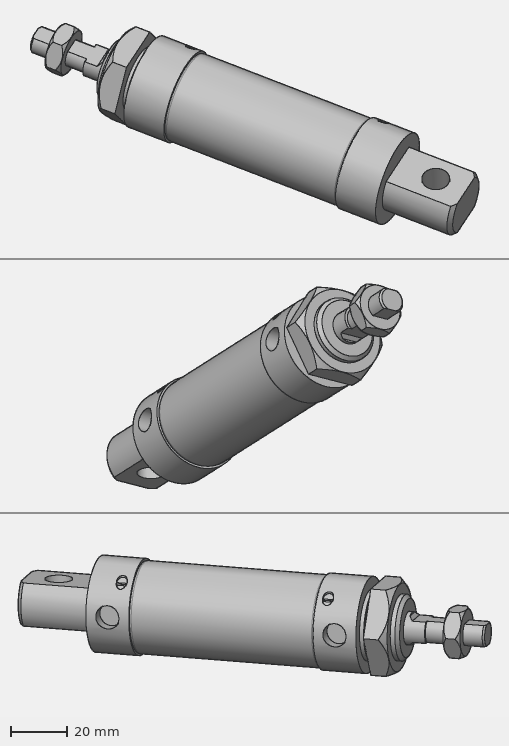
import cadquery as cq
import math

total_length = 172.0
rod_nut_start = 7.9
rod_nut_thickness = 6.4
thread_length = 21.8
flat_end = 28.2
nose_face = 29.8
nose_chamfer = 1.4
mount_nut_start = 32.9
mount_nut_thickness = 8.0
collar_start = 42.5
front_cap_start = 44.0
cap_length = 16.0
rear_cap_end = 144.7
front_cap_end = front_cap_start + cap_length
rear_cap_start = rear_cap_end - cap_length

cap_dia = 35.0
tube_dia = 33.5
nose_dia = 24.0
collar_dia = 26.0
rod_dia = 12.0
thread_dia = 10.0
thread_chamfer = 0.7

groove_width = 0.7
groove_depth = 0.2

flat_height = 7.9
flat_ramp = 1.4

rod_nut_flats = 17.0
rod_nut_circle = 16.9
mount_nut_flats = 32.0
mount_nut_circle = 31.8

lug_dia = nose_dia
lug_thickness = 16.0
lug_chamfer = 1.5
lug_hole_dia = 10.0
lug_hole_to_end = 12.0

port_dia = 8.6
port_depth = 5.2
screw_dia = 4.0
screw_recess_depth = 0.5
screw_slot_width = 0.3
screw_slot_depth = 0.3
screw_angle = 45.0
screw_to_tube = 4.1


def revolve_about_x(profile):
    """Turn a list of (x, radius) points, closed along the axis, into a solid."""
    closed = [(profile[0][0], 0)] + profile + [(profile[-1][0], 0)]
    return cq.Workplane("XY").polyline(closed).close().revolve(360, (0, 0, 0), (1, 0, 0))


def x_cylinder(start, end, diameter):
    """Solid cylinder along X between two stations."""
    return cq.Workplane("YZ", origin=(start, 0, 0)).circle(diameter / 2).extrude(end - start)


def hex_nut(start, thickness, across_flats, face_circle, chamfer_rear):
    """Hexagon with flats facing up and down, corners turned off at 45 degrees."""
    corner_dia = across_flats / math.cos(math.pi / 6)
    hexagon = cq.Workplane("YZ", origin=(start, 0, 0)).polygon(6, corner_dia).extrude(thickness)
    run = (corner_dia - face_circle) / 2
    end = start + thickness
    turned = [(start, face_circle / 2), (start + run, corner_dia / 2)]
    if chamfer_rear:
        turned += [(end - run, corner_dia / 2), (end, face_circle / 2)]
    else:
        turned += [(end, corner_dia / 2)]
    return hexagon.intersect(revolve_about_x(turned))


def make_rod():
    """Stepped rod with flats and its lock nut, seated in the bore of the front cap."""
    tip = thread_dia / 2
    rod = revolve_about_x([
        (0, tip - thread_chamfer),
        (thread_chamfer, tip),
        (thread_length, tip),
        (thread_length, rod_dia / 2),
        (front_cap_end, rod_dia / 2),
    ])
    for side in (1, -1):
        rod = rod.cut(rod_flat(side))
    nut = hex_nut(rod_nut_start, rod_nut_thickness, rod_nut_flats, rod_nut_circle, True)
    return rod.union(nut)


def rod_flat(side):
    """Material milled off one side of the rod, with a sloped run-out at its inner end."""
    floor = side * flat_height / 2
    top = side * rod_dia
    ramp_top = side * (flat_height / 2 + flat_ramp)
    return (
        cq.Workplane("XZ", origin=(0, rod_dia, 0))
        .moveTo(0, floor)
        .lineTo(flat_end - flat_ramp, floor)
        .lineTo(flat_end, ramp_top)
        .lineTo(flat_end, top)
        .lineTo(0, top)
        .close()
        .extrude(2 * rod_dia)
    )


def make_lug():
    """Chamfered round lug with flat top and bottom and a vertical pin hole."""
    lug = revolve_about_x([
        (rear_cap_end, lug_dia / 2),
        (total_length - lug_chamfer, lug_dia / 2),
        (total_length, lug_dia / 2 - lug_chamfer),
    ])
    lug_length = total_length - rear_cap_end
    slab = cq.Workplane("XY").box(lug_length, lug_dia, lug_thickness)
    lug = lug.intersect(slab.translate((rear_cap_end + lug_length / 2, 0, 0)))
    hole = (
        cq.Workplane("XY", origin=(total_length - lug_hole_to_end, 0, -lug_thickness))
        .circle(lug_hole_dia / 2)
        .extrude(2 * lug_thickness)
    )
    return lug.cut(hole)


def port(x):
    """Blind radial hole on the +Y side."""
    floor = cap_dia / 2 - port_depth
    return (
        cq.Workplane("XZ", origin=(x, floor, 0))
        .circle(port_dia / 2)
        .extrude(-cap_dia / 2)
    )


def screw_recess(x):
    """Shallow vertical recess at 45 degrees round the cap, its floor following the cap, with a slot."""
    y = cap_dia / 2 * math.cos(math.radians(screw_angle))
    plane = cq.Workplane("XY", origin=(x, y, 0))
    floor_dia = cap_dia - 2 * screw_recess_depth
    slot_floor_dia = floor_dia - 2 * screw_slot_depth
    recess = plane.circle(screw_dia / 2).extrude(cap_dia)
    recess = recess.cut(x_cylinder(x - screw_dia, x + screw_dia, floor_dia))
    slot = plane.rect(screw_dia, screw_slot_width).extrude(cap_dia)
    slot = slot.intersect(plane.circle(screw_dia / 2).extrude(cap_dia))
    slot = slot.cut(x_cylinder(x - screw_dia, x + screw_dia, slot_floor_dia))
    return recess.union(slot)


def make_housing():
    """Nose, mounting nut, caps, tube and rear lug as one turned and drilled solid."""
    cap_r = cap_dia / 2
    tube_r = tube_dia / 2
    groove_r = tube_r - groove_depth
    housing = revolve_about_x([
        (nose_face, nose_dia / 2 - nose_chamfer),
        (nose_face + nose_chamfer, nose_dia / 2),
        (collar_start, nose_dia / 2),
        (collar_start, collar_dia / 2),
        (front_cap_start, collar_dia / 2),
        (front_cap_start, cap_r),
        (front_cap_end, cap_r),
        (front_cap_end, groove_r),
        (front_cap_end + groove_width, tube_r),
        (rear_cap_start - groove_width, tube_r),
        (rear_cap_start, groove_r),
        (rear_cap_start, cap_r),
        (rear_cap_end, cap_r),
    ])
    nut = hex_nut(mount_nut_start, mount_nut_thickness, mount_nut_flats, mount_nut_circle, False)
    housing = housing.union(nut).union(make_lug())
    for x in (front_cap_start + cap_length / 2, rear_cap_end - cap_length / 2):
        housing = housing.cut(port(x))
    for x in (front_cap_end - screw_to_tube, rear_cap_start + screw_to_tube):
        housing = housing.cut(screw_recess(x))
    return housing.cut(x_cylinder(nose_face, front_cap_end, rod_dia))


rod = make_rod()
housing = make_housing()
result = cq.Compound.makeCompound([rod.val(), housing.val()])